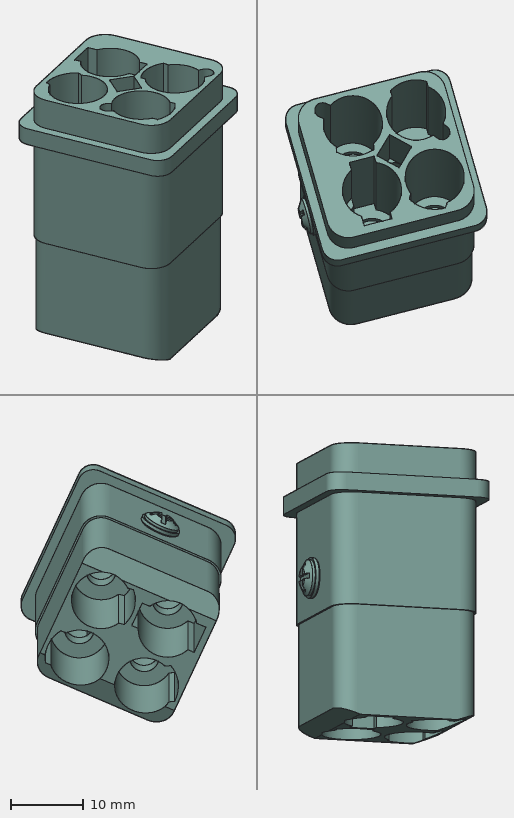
import cadquery as cq

height = 38.2
upper_width = 21.0
upper_corner_radius = 3.0
step_height = 15.5
lower_width = 20.45
lower_corner_radius = upper_corner_radius - (upper_width - lower_width) / 2
flange_width = 23.6
flange_corner_radius = 2.2
flange_bottom = 31.25
flange_thickness = 2.5
foot_bevel_height = 1.1
foot_bevel_width = 3.1

cavity_radius = 4.1
key_radius = 4.75
key_width = 5.2
web_bottom = 14.0
web_top = 18.0
web_recess_radius = 2.82
web_recess_depth = 1.0
contact_hole_radius = 2.05
lobe_radius = 1.08
lobe_reach = 4.65

keyed_cavities = [
    ((5.6, 3.28), 170, 49.5),
    ((-4.95, -5.63), 150, None),
    ((4.92, -5.63), 0, 215.5),
]

slotted_centre = (-4.53, 3.28)
slot_end = 4.75
slot_front = -1.6
slot_back_left = 2.4
slot_back_right = 1.97
slotted_hole_radius = 2.15
ledge_inner_radius = 3.1
ledge_drop = 12.0
lip_inner_radius = 2.57
lip_front = 1.0

pocket_centre = (0.2, -1.21)
pocket_side = 3.55
pocket_turn = 45
pocket_depth = 10.0
pocket_bore_radius = 1.75
pocket_bore_depth = 4.0
pocket_hole_radius = 1.22
pocket_hole_depth = 2.0

screw_height = 20.7
screw_tip = 1.82
washer_radius = 2.83
washer_chamfer = 0.2
washer_top = 0.67
head_radius = 2.54
head_rim = 1.05
head_mid_radius = 1.94
head_mid_height = 1.42
head_flat_radius = 1.3
screw_slot_width = 0.7
screw_slot_depth = 0.45


def rounded_block(width, corner_radius, bottom, top):
    block = cq.Workplane("XY").workplane(offset=bottom).rect(width, width).extrude(top - bottom)
    return block.edges("|Z").fillet(corner_radius)


def cylinder(centre, radius, bottom, top):
    return cq.Workplane("XY").workplane(offset=bottom).center(*centre).circle(radius).extrude(top - bottom)


def box(x_range, y_range, bottom, top):
    size = (x_range[1] - x_range[0], y_range[1] - y_range[0], top - bottom)
    return cq.Workplane("XY").box(*size, centered=False).translate((x_range[0], y_range[0], bottom))


def housing():
    body = rounded_block(lower_width, lower_corner_radius, 0, step_height)
    body = body.union(rounded_block(upper_width, upper_corner_radius, step_height, height))
    flange_top = flange_bottom + flange_thickness
    body = body.union(rounded_block(flange_width, flange_corner_radius, flange_bottom, flange_top))
    half = lower_width / 2
    for side in (-1, 1):
        wedge = (
            cq.Workplane("YZ")
            .moveTo(side * half, foot_bevel_height)
            .lineTo(side * half, 0)
            .lineTo(side * (half - foot_bevel_width), 0)
            .close()
            .extrude(half, both=True)
        )
        body = body.cut(wedge)
    return body


def turned(shape, degrees):
    return shape.rotate((0, 0, 0), (0, 0, 1), degrees)


def keyed_cavity(centre, key_direction, bottom, top):
    key_bar = box((0, key_radius), (-key_width / 2, key_width / 2), bottom, top)
    key = key_bar.intersect(cylinder((0, 0), key_radius, bottom, top))
    cavity = cylinder((0, 0), cavity_radius, bottom, top).union(turned(key, key_direction))
    return cavity.translate((*centre, 0))


def lobe(centre, direction):
    groove = box((0, lobe_reach), (-lobe_radius, lobe_radius), web_top, height)
    groove = groove.union(cylinder((lobe_reach, 0), lobe_radius, web_top, height))
    return turned(groove, direction).translate((*centre, 0))


def slotted_cavity(bottom, top):
    cavity = cylinder((0, 0), cavity_radius, bottom, top)
    cavity = cavity.union(box((-slot_end, 0), (slot_front, slot_back_left), bottom, top))
    cavity = cavity.union(box((0, slot_end), (slot_front, slot_back_right), bottom, top))
    return cavity.translate((*slotted_centre, 0))


def crescent_ledge():
    ledge_top = height - ledge_drop
    ledge = cylinder((0, 0), cavity_radius, web_top, ledge_top)
    ledge = ledge.cut(cylinder((0, 0), ledge_inner_radius, web_top, ledge_top))
    ledge = ledge.cut(box((-slot_end, 0), (-slot_end, slot_back_left), web_top, ledge_top))
    ledge = ledge.cut(box((0, slot_end), (-slot_end, slot_back_right), web_top, ledge_top))
    return ledge.translate((*slotted_centre, 0))


def web_recess(centre):
    return cylinder(centre, web_recess_radius, web_top - web_recess_depth, web_top)


def slotted_web_recess():
    floor = web_top - web_recess_depth
    recess = cylinder((0, 0), web_recess_radius, floor, web_top)
    recess = recess.cut(box((-slot_end, slot_end), (lip_front, slot_end), floor, web_top))
    recess = recess.union(cylinder((0, 0), lip_inner_radius, floor, web_top))
    return recess.translate((*slotted_centre, 0))


def cut_cavities(body):
    for bottom, top in ((0, web_bottom), (web_top, height)):
        for centre, key_direction, _ in keyed_cavities:
            body = body.cut(keyed_cavity(centre, key_direction, bottom, top))
        body = body.cut(slotted_cavity(bottom, top))
    for centre, _, lobe_direction in keyed_cavities:
        if lobe_direction is not None:
            body = body.cut(lobe(centre, lobe_direction))
        body = body.cut(web_recess(centre))
        body = body.cut(cylinder(centre, contact_hole_radius, web_bottom, web_top))
    body = body.union(crescent_ledge())
    body = body.cut(slotted_web_recess())
    return body.cut(cylinder(slotted_centre, slotted_hole_radius, web_bottom, web_top))


def cut_central_pocket(body):
    pocket_floor = height - pocket_depth
    bore_floor = pocket_floor - pocket_bore_depth
    half = pocket_side / 2
    diamond = box((-half, half), (-half, half), pocket_floor, height)
    body = body.cut(turned(diamond, pocket_turn).translate((*pocket_centre, 0)))
    body = body.cut(cylinder(pocket_centre, pocket_bore_radius, bore_floor, pocket_floor))
    return body.cut(cylinder(pocket_centre, pocket_hole_radius, bore_floor - pocket_hole_depth, bore_floor))


def screw():
    head = (
        cq.Workplane("XY")
        .moveTo(0, 0)
        .lineTo(washer_radius - washer_chamfer, 0)
        .lineTo(washer_radius, washer_chamfer)
        .lineTo(washer_radius, washer_top)
        .lineTo(head_radius, washer_top)
        .lineTo(head_radius, head_rim)
        .threePointArc((head_mid_radius, head_mid_height), (head_flat_radius, screw_tip))
        .lineTo(0, screw_tip)
        .close()
        .revolve(360, (0, 0, 0), (0, 1, 0))
    )
    slot_floor = screw_tip - screw_slot_depth
    half = screw_slot_width / 2
    head = head.cut(box((-washer_radius, washer_radius), (slot_floor, screw_tip), -half, half))
    head = head.cut(box((-half, half), (slot_floor, screw_tip), -washer_radius, washer_radius))
    return head.translate((0, upper_width / 2, screw_height))


result = cut_central_pocket(cut_cavities(housing())).union(screw())